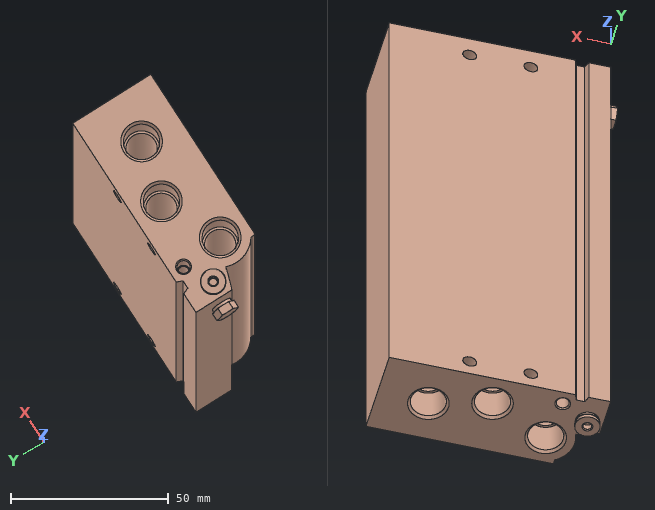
import cadquery as cq
import math

OVERALL_X = 76.4
OVERALL_Z = 171.3
BOLT_HEIGHT = 3.8
PLUG_HEIGHT = 2.5
HOUSING_LENGTH = OVERALL_X - BOLT_HEIGHT
HOUSING_DEPTH = 29.5
HOUSING_HEIGHT = OVERALL_Z - 2 * PLUG_HEIGHT

PORT_CENTERS = [(16.3, 10.0), (36.1, 19.4), (55.8, 14.2)]
PORT_MOUTH_DIAMETER = 13.2
PORT_THREAD_DIAMETER = 11.5
PORT_BORE_DIAMETER = 10.0
PORT_THREAD_DEPTH = 12.0
PILOT_CENTER = (14.5, 24.8)
PILOT_MOUTH_DIAMETER = 5.0
PILOT_THREAD_DIAMETER = 4.1
PILOT_BORE_DIAMETER = 3.5
PILOT_THREAD_DEPTH = 8.0

BEAD_CENTER_X = 16.6
BEAD_CENTER_Y = 10.0
BEAD_RADIUS = 10.0
BEAD_END_Y = 1.7
RAIL_FRONT_Y = 16.0
UNDERCUT_END_Y = 13.5
UNDERCUT_HOLLOW = 0.09
STEP_X = 11.1
STEP_BEVEL_END_Y = 1.0
STEP_ROUNDING = 0.3

GROOVE_CENTER_X = 9.5
GROOVE_MOUTH_WIDTH = 4.5
GROOVE_FLOOR_WIDTH = 2.7
GROOVE_DEPTH = 2.0

MOUNT_DIAMETER = 4.5
MOUNT_XS = [26.2, 46.3]
MOUNT_TOP_OFFSET = 8.0
MOUNT_BOTTOM_OFFSET = 6.0

PLUG_CENTER = (5.1, 19.7)
PLUG_DISC_DIAMETER = 8.0
PLUG_DISC_HEIGHT = 1.5
PLUG_COLLAR_DIAMETER = 7.7
PLUG_SOCKET_MOUTH_DIAMETER = 3.5
PLUG_SOCKET_DIAMETER = 2.7
PLUG_SOCKET_DEPTH = 2.4

BOLT_Y = 19.9
BOLT_TOP_OFFSET = 13.0
BOLT_ACROSS_FLATS = 7.0
BOLT_CROWN_ANGLE = math.radians(10)
BOLT_COLLAR_DIAMETER = 6.9
BOLT_COLLAR_HEIGHT = 1.0


def bead_x(y):
    """X on the left side of the bead at a given Y."""
    return BEAD_CENTER_X - math.sqrt(BEAD_RADIUS**2 - (y - BEAD_CENTER_Y) ** 2)


def make_housing_blank():
    groove_floor_y = HOUSING_DEPTH - GROOVE_DEPTH
    return (
        cq.Workplane("XY")
        .moveTo(STEP_X + STEP_ROUNDING, 0)
        .lineTo(HOUSING_LENGTH, 0)
        .lineTo(HOUSING_LENGTH, HOUSING_DEPTH)
        .lineTo(GROOVE_CENTER_X + GROOVE_MOUTH_WIDTH / 2, HOUSING_DEPTH)
        .lineTo(GROOVE_CENTER_X + GROOVE_FLOOR_WIDTH / 2, groove_floor_y)
        .lineTo(GROOVE_CENTER_X - GROOVE_FLOOR_WIDTH / 2, groove_floor_y)
        .lineTo(GROOVE_CENTER_X - GROOVE_MOUTH_WIDTH / 2, HOUSING_DEPTH)
        .lineTo(0, HOUSING_DEPTH)
        .lineTo(0, RAIL_FRONT_Y)
        .sagittaArc((bead_x(UNDERCUT_END_Y), UNDERCUT_END_Y), -UNDERCUT_HOLLOW)
        .threePointArc(
            (BEAD_CENTER_X - BEAD_RADIUS, BEAD_CENTER_Y),
            (bead_x(BEAD_END_Y), BEAD_END_Y),
        )
        .lineTo(STEP_X, STEP_BEVEL_END_Y)
        .lineTo(STEP_X, STEP_ROUNDING)
        .radiusArc((STEP_X + STEP_ROUNDING, 0), -STEP_ROUNDING)
        .close()
        .extrude(HOUSING_HEIGHT)
    )


def cut_bore(body, center, diameter, depth):
    """Cut the same round bore into the top and the bottom face."""
    from_bottom = cq.Workplane("XY").circle(diameter / 2).extrude(depth)
    from_top = from_bottom.translate((0, 0, HOUSING_HEIGHT - depth))
    for cutter in (from_bottom, from_top):
        body = body.cut(cutter.translate((*center, 0)))
    return body


def cut_mouths(body, center, mouth_diameter, bore_diameter):
    """Cut a 45 degree countersink into the top and the bottom face."""
    depth = (mouth_diameter - bore_diameter) / 2
    for face_z, inward in [(0, 1), (HOUSING_HEIGHT, -1)]:
        cone = cq.Solid.makeCone(
            mouth_diameter / 2, bore_diameter / 2, depth, cq.Vector(*center, face_z), cq.Vector(0, 0, inward)
        )
        body = body.cut(cq.Workplane(cone))
    return body


def cut_port(body, center):
    body = cut_bore(body, center, PORT_BORE_DIAMETER, HOUSING_HEIGHT)
    body = cut_bore(body, center, PORT_THREAD_DIAMETER, PORT_THREAD_DEPTH)
    return cut_mouths(body, center, PORT_MOUTH_DIAMETER, PORT_THREAD_DIAMETER)


def cut_pilot(body):
    body = cut_bore(body, PILOT_CENTER, PILOT_BORE_DIAMETER, HOUSING_HEIGHT)
    body = cut_bore(body, PILOT_CENTER, PILOT_THREAD_DIAMETER, PILOT_THREAD_DEPTH)
    return cut_mouths(body, PILOT_CENTER, PILOT_MOUTH_DIAMETER, PILOT_THREAD_DIAMETER)


def make_mounting_holes():
    heights = [MOUNT_BOTTOM_OFFSET, HOUSING_HEIGHT - MOUNT_TOP_OFFSET]
    return (
        cq.Workplane("XZ")
        .pushPoints([(x, z) for x in MOUNT_XS for z in heights])
        .circle(MOUNT_DIAMETER / 2)
        .extrude(-HOUSING_DEPTH)
    )


def make_housing():
    housing = make_housing_blank()
    for center in PORT_CENTERS:
        housing = cut_port(housing, center)
    housing = cut_pilot(housing)
    return housing.cut(make_mounting_holes())


def make_plug(seat_z, outward):
    """Plug seated on the end face at seat_z, pointing up (outward = 1) or down (outward = -1)."""
    collar_height = PLUG_HEIGHT - PLUG_DISC_HEIGHT
    collar = cq.Workplane("XY").circle(PLUG_COLLAR_DIAMETER / 2).extrude(outward * collar_height)
    disc = (
        cq.Workplane("XY", origin=(0, 0, outward * collar_height))
        .circle(PLUG_DISC_DIAMETER / 2)
        .extrude(outward * PLUG_DISC_HEIGHT)
    )
    socket = (
        cq.Workplane("XY", origin=(0, 0, outward * PLUG_HEIGHT))
        .circle(PLUG_SOCKET_DIAMETER / 2)
        .extrude(-outward * PLUG_SOCKET_DEPTH)
    )
    socket_mouth = cq.Solid.makeCone(
        PLUG_SOCKET_MOUTH_DIAMETER / 2,
        PLUG_SOCKET_DIAMETER / 2,
        (PLUG_SOCKET_MOUTH_DIAMETER - PLUG_SOCKET_DIAMETER) / 2,
        cq.Vector(0, 0, outward * PLUG_HEIGHT),
        cq.Vector(0, 0, -outward),
    )
    plug = collar.union(disc).cut(socket).cut(cq.Workplane(socket_mouth))
    return plug.translate((*PLUG_CENTER, seat_z))


def make_bolt():
    """Bolt head with its hexagon's corners pointing along Y."""
    across_corners = BOLT_ACROSS_FLATS / math.cos(math.pi / 6)
    collar = cq.Workplane("YZ").circle(BOLT_COLLAR_DIAMETER / 2).extrude(-BOLT_COLLAR_HEIGHT)
    head = (
        cq.Workplane("YZ", origin=(-BOLT_COLLAR_HEIGHT, 0, 0))
        .polygon(6, across_corners)
        .extrude(BOLT_COLLAR_HEIGHT - BOLT_HEIGHT)
    )
    crown_drop = (across_corners - BOLT_ACROSS_FLATS) / 2 * math.tan(BOLT_CROWN_ANGLE)
    crown = (
        cq.Workplane("XY")
        .lineTo(-BOLT_HEIGHT, 0)
        .lineTo(-BOLT_HEIGHT, BOLT_ACROSS_FLATS / 2)
        .lineTo(crown_drop - BOLT_HEIGHT, across_corners / 2)
        .lineTo(0, across_corners / 2)
        .close()
        .revolve(360, (0, 0), (1, 0))
    )
    bolt = collar.union(head.intersect(crown))
    return bolt.translate((0, BOLT_Y, HOUSING_HEIGHT - BOLT_TOP_OFFSET))


housing = make_housing()
bolt = make_bolt()
plugs = [make_plug(seat_z, outward) for seat_z, outward in [(0, -1), (HOUSING_HEIGHT, 1)]]

result = cq.Compound.makeCompound([housing.val(), bolt.val(), *[plug.val() for plug in plugs]])